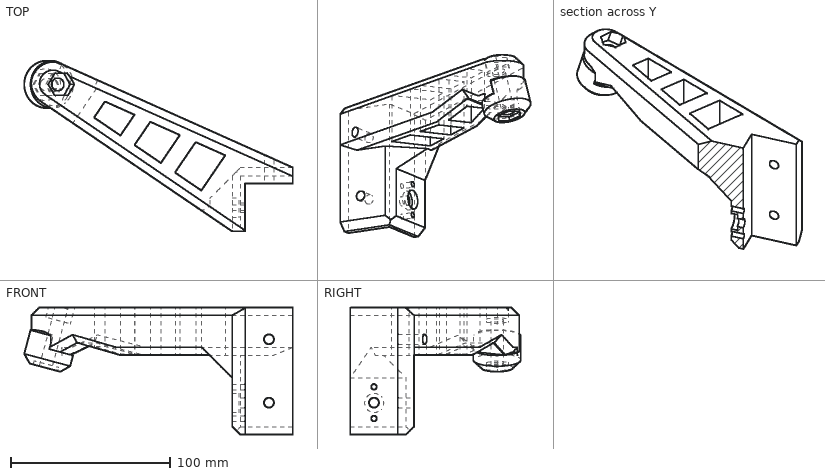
import cadquery as cq
import math

leg_reach = 30.0
side_leg_thickness = 8.1
back_leg_thickness = 10.1
mount_height = 80.0
bevel = 5.0
gusset_bottom = 44.3

arm_depth = 30.0
head_x, head_y = -120.8, 62.8
head_radius = 13.5
notch_start, notch_apex, notch_end = 7.0, 24.2, 56.8
notch_height = 7.8
window_count = 3
window_start = 33.5
window_length = 20.0
window_pitch = 30.7
window_margin = 10.5

foot_x, foot_y, foot_z = -125.7, 62.3, -38.0
foot_tilt = 15.0
foot_diameter = 30.0
foot_height = 23.0
foot_top_bevel = 2.5
foot_shoulder = 12.0
shoulder_offset = -0.5
bore_diameter = 8.0
hex_flats = 13.9
top_hex_depth = 8.5
bottom_hex_depth = 2.5

screw_diameter = 6.0
counterbore_diameter = 12.0
counterbore_depth = 4.0
pin_diameter = 3.4
pin_spacing = 20.0
hole_offset = leg_reach / 2
screw_depths = (20.1, 60.0)

far_length = 337.8


def tangent_direction(x, y, side):
    """Direction from the head centre to its tangent point for a line ending at (x, y)."""
    distance = math.hypot(x - head_x, y - head_y)
    heading = math.atan2(y - head_y, x - head_x)
    return heading + side * math.acos(head_radius / distance)


def head_point(angle, radius):
    return (head_x + radius * math.cos(angle), head_y + radius * math.sin(angle))


near_corner = (-side_leg_thickness, -leg_reach)
far_corner = (leg_reach, back_leg_thickness)
near_normal = tangent_direction(*near_corner, -1)
far_normal = tangent_direction(*far_corner, 1)
near_angle = near_normal + math.pi / 2
far_angle = far_normal - math.pi / 2


def along_near_side(distance, offset=0.0):
    """Point measured from the head centre, along and across the near side."""
    return (
        head_x + distance * math.cos(near_angle) - offset * math.sin(near_angle),
        head_y + distance * math.sin(near_angle) + offset * math.cos(near_angle),
    )


def far_side_offset(distance, inset):
    """Offset across the arm at which a line inset from the far side is reached."""
    spread = far_angle - near_angle
    return (head_radius - inset) / math.cos(spread) + distance * math.tan(spread)


def make_arm():
    overrun = 50.7
    near_end = (
        near_corner[0] + overrun * math.cos(near_angle),
        near_corner[1] + overrun * math.sin(near_angle),
    )
    far_end = (
        far_corner[0] + overrun * math.cos(far_angle),
        far_corner[1] + overrun * math.sin(far_angle),
    )
    tip_angle = (near_normal + far_normal) / 2 + math.pi
    arm = (
        cq.Workplane("XY")
        .moveTo(*near_end)
        .lineTo(*head_point(near_normal, head_radius))
        .threePointArc(head_point(tip_angle, head_radius), head_point(far_normal, head_radius))
        .lineTo(*far_end)
        .close()
        .extrude(-arm_depth)
    )
    arm = arm.cut(make_notch())
    arm = arm.faces(">Z").edges().chamfer(bevel)
    arm = arm.cut(make_lower_bevel(near_angle, near_normal))
    return arm.cut(make_lower_bevel(far_angle, far_normal))


def make_lower_bevel(side_angle, normal_angle):
    """Cutter that bevels the lower edge of one side, following the notched underside.

    The notched outline starts one bevel inside the side and is swept outward and up at 45 degrees.
    """
    plane = cq.Plane(
        origin=(*head_point(normal_angle, head_radius - bevel), -arm_depth),
        xDir=heading_vector(side_angle),
        normal=heading_vector(side_angle - math.pi / 2),
    )
    stretch = 1 / math.cos(side_angle - near_angle)
    outline = cq.Workplane(plane).polyline([
        (0, -arm_depth),
        (0, 0),
        (notch_start * stretch, 0),
        (notch_apex * stretch, notch_height),
        (notch_end * stretch, 0),
        (far_length, 0),
        (far_length, -arm_depth),
    ]).close()
    sweep = 2 * bevel
    direction = cq.Vector(sweep * math.cos(normal_angle), sweep * math.sin(normal_angle), sweep)
    return cq.Workplane(cq.Solid.extrudeLinear(outline.val(), [], direction))


def heading_vector(angle):
    return (math.cos(angle), math.sin(angle), 0)


def make_notch():
    """V-shaped relief across the underside, beside the foot."""
    plane = cq.Plane(
        origin=(head_x, head_y, -arm_depth),
        xDir=heading_vector(near_angle),
        normal=heading_vector(near_angle - math.pi / 2),
    )
    return (
        cq.Workplane(plane)
        .polyline([(notch_start, 0), (notch_apex, notch_height), (notch_end, 0)])
        .close()
        .extrude(far_length, both=True)
    )


def make_windows():
    windows = cq.Workplane("XY")
    near_offset = window_margin - head_radius
    for index in range(window_count):
        start = window_start + index * window_pitch
        end = start + window_length
        corners = [
            along_near_side(start, near_offset),
            along_near_side(end, near_offset),
            along_near_side(end, far_side_offset(end, window_margin)),
            along_near_side(start, far_side_offset(start, window_margin)),
        ]
        windows = windows.add(cq.Workplane("XY").polyline(corners).close().extrude(-far_length))
    return windows


def make_mount():
    """Corner block with its outer upright corner and two outer bottom edges bevelled."""
    block = (
        cq.Workplane("XY")
        .box(
            leg_reach + side_leg_thickness,
            leg_reach + back_leg_thickness,
            mount_height - bevel,
            centered=False,
        )
        .translate((-side_leg_thickness, -leg_reach, -mount_height))
    )
    block = block.edges("<Z and (<X or >Y)").chamfer(bevel)
    plan = (
        cq.Workplane("XY")
        .polyline([
            near_corner,
            (-side_leg_thickness, back_leg_thickness - bevel),
            (-side_leg_thickness + bevel, back_leg_thickness),
            far_corner,
            (leg_reach, -leg_reach),
        ])
        .close()
        .extrude(-mount_height)
    )
    return block.intersect(plan)


def make_gusset():
    """45 degree web under the arm, kept between the arm's near side and the bevelled corner."""
    rise = gusset_bottom - arm_depth + bevel
    wedge = (
        cq.Workplane("XZ")
        .polyline([
            (-side_leg_thickness, -gusset_bottom),
            (-side_leg_thickness, -gusset_bottom + rise),
            (-side_leg_thickness - rise, -gusset_bottom + rise),
        ])
        .close()
        .extrude(far_length, both=True)
    )
    bevel_y = back_leg_thickness - bevel
    reach = 33.8
    plan = (
        cq.Workplane("XY")
        .polyline([
            near_corner,
            (-side_leg_thickness, bevel_y),
            (-side_leg_thickness - reach, bevel_y - reach),
            (
                near_corner[0] - reach,
                near_corner[1] - reach * math.tan(near_angle),
            ),
        ])
        .close()
        .extrude(-mount_height)
    )
    return wedge.intersect(plan)


foot_plane = cq.Plane(
    origin=(foot_x, foot_y, foot_z),
    xDir=(math.cos(math.radians(foot_tilt)), 0, -math.sin(math.radians(foot_tilt))),
    normal=(math.sin(math.radians(foot_tilt)), 0, math.cos(math.radians(foot_tilt))),
)


def make_foot():
    foot_radius = foot_diameter / 2
    profile = [
        (0, 0), (foot_radius - bevel, 0), (foot_radius, bevel),
        (foot_radius, foot_height - foot_top_bevel),
        (foot_radius - foot_top_bevel, foot_height), (0, foot_height),
    ]
    foot = cq.Workplane("XZ").polyline(profile).close().revolve(360, (0, 0), (0, 1))
    step = (
        cq.Workplane("XY")
        .box(foot_diameter, 2 * foot_diameter, foot_height, centered=(False, True, False))
        .translate((shoulder_offset, 0, foot_shoulder))
    )
    return cq.Workplane(foot.cut(step).val().moved(cq.Location(foot_plane)))


def make_foot_bore():
    """Through bore on the tilted axis with a hexagonal pocket at each end."""
    hex_corners = hex_flats / math.cos(math.pi / 6)
    axis_length = -foot_z / math.cos(math.radians(foot_tilt))
    axis = cq.Workplane(foot_plane)
    bore = axis.circle(bore_diameter / 2).extrude(far_length)
    bottom_hex = axis.polygon(6, hex_corners).extrude(bottom_hex_depth)
    top_hex = (
        axis.workplane(offset=axis_length - top_hex_depth)
        .polygon(6, hex_corners)
        .extrude(far_length)
    )
    return bore.union(bottom_hex).union(top_hex)


def make_mount_holes():
    holes = cq.Workplane("XZ").pushPoints([(hole_offset, -depth) for depth in screw_depths])
    holes = holes.circle(screw_diameter / 2).extrude(-far_length)
    hole_z = -screw_depths[1]
    outer_face = cq.Workplane("YZ", origin=(-side_leg_thickness, -hole_offset, hole_z))
    screw = outer_face.circle(screw_diameter / 2).extrude(side_leg_thickness)
    counterbore = outer_face.circle(counterbore_diameter / 2).extrude(counterbore_depth)
    pins = (
        outer_face.pushPoints([(0, pin_spacing / 2), (0, -pin_spacing / 2)])
        .circle(pin_diameter / 2)
        .extrude(side_leg_thickness)
    )
    return holes.union(screw).union(counterbore).union(pins)


inner_corner = cq.Workplane("XY").box(far_length, far_length, far_length).translate(
    (far_length / 2, -far_length / 2, 0)
)
envelope = cq.Workplane("XY").box(far_length, far_length, far_length).translate(
    (leg_reach - far_length / 2, -leg_reach + far_length / 2, 0)
)

result = make_arm().union(make_mount()).union(make_gusset())
result = result.cut(inner_corner).intersect(envelope)
result = result.union(make_foot())
for cutter in (make_foot_bore(), make_windows(), make_mount_holes()):
    for solid in cutter.vals():
        result = result.cut(cq.Workplane(solid))